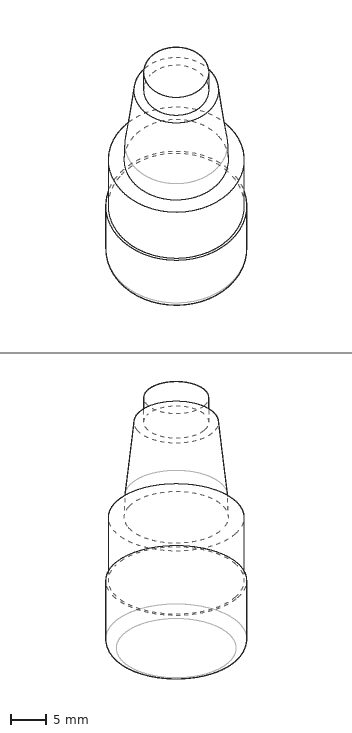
import cadquery as cq

total_height = 40.8
base_top = 11.0
shoulder_top = 21.3
collar_top = 24.8
taper_top = 36.8

base_diameter = 20.0
shoulder_diameter = 19.25
collar_bottom_diameter = 14.75
taper_bottom_diameter = 14.55
taper_top_diameter = 12.0
pin_diameter = 9.22

base_edge_radius = 1.5


def make_cylinder(diameter, bottom, top):
    return cq.Workplane("XY").workplane(offset=bottom).circle(diameter / 2).extrude(top - bottom)


def make_housing():
    """Stepped round body: rounded base, shoulder, slightly drafted collar and taper."""
    base = make_cylinder(base_diameter, 0, base_top).faces("<Z").edges().fillet(base_edge_radius)
    shoulder = make_cylinder(shoulder_diameter, base_top, shoulder_top)
    neck = (
        cq.Workplane("XZ")
        .moveTo(0, shoulder_top)
        .lineTo(collar_bottom_diameter / 2, shoulder_top)
        .lineTo(taper_bottom_diameter / 2, collar_top)
        .lineTo(taper_top_diameter / 2, taper_top)
        .lineTo(0, taper_top)
        .close()
        .revolve(360, (0, 0, 0), (0, 1, 0))
    )
    return base.union(shoulder).union(neck)


def make_pin():
    """Plain round pin standing on the flat top of the housing."""
    return make_cylinder(pin_diameter, taper_top, total_height)


housing = make_housing()
pin = make_pin()

result = cq.Compound.makeCompound([housing.val(), pin.val()])